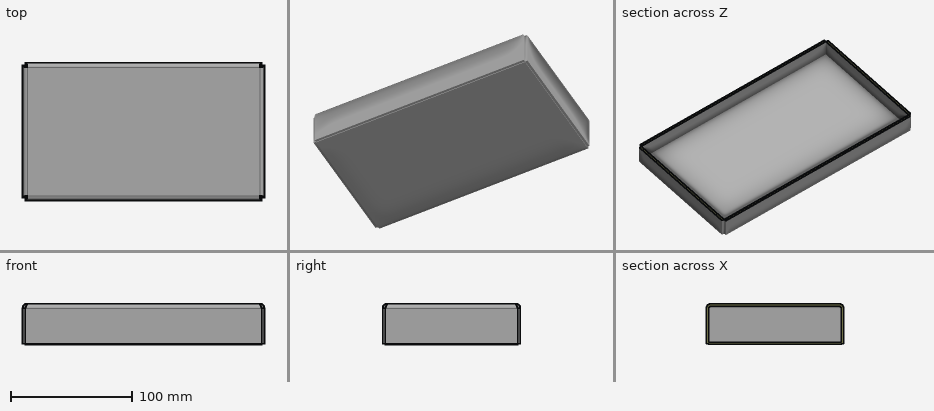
import cadquery as cq

length = 200.0
width = 114.0
height = 34.0

thickness = 2.5
bend_radius = 4.0
inner_radius = bend_radius - thickness

notch = 2.2

plate_thickness = 2.5
plate_drop = 0.5


def rounded_block(block_length, block_width, block_height, radius):
    """Block standing on Z = 0 with rounded top edges and sharp vertical corners."""
    long_profile = (
        cq.Workplane("XZ")
        .rect(block_length, 2 * block_height)
        .extrude(block_width / 2, both=True)
        .edges("|Y and >Z")
        .fillet(radius)
    )
    cross_profile = (
        cq.Workplane("YZ")
        .rect(block_width, 2 * block_height)
        .extrude(block_length / 2, both=True)
        .edges("|X and >Z")
        .fillet(radius)
    )
    upper_half = cq.Workplane("XY").box(
        block_length, block_width, block_height, centered=(True, True, False)
    )
    return long_profile.intersect(cross_profile).intersect(upper_half)


def corner_relief():
    """Cutter for the -X, -Y corner: square along the walls, flaring upward through the bends."""
    corner = (-length / 2, -width / 2)
    bend_start = height - bend_radius
    wall_notch = (
        cq.Workplane("XY")
        .center(*corner)
        .rect(notch, notch, centered=False)
        .extrude(bend_start)
    )
    bend_notch = (
        cq.Workplane("XY", origin=(0, 0, bend_start))
        .center(*corner)
        .rect(notch, notch, centered=False)
        .workplane(offset=bend_radius)
        .rect(bend_radius, bend_radius, centered=False)
        .loft(ruled=True)
    )
    return wall_notch.union(bend_notch)


outside = rounded_block(length, width, height, bend_radius)
inside = rounded_block(
    length - 2 * thickness,
    width - 2 * thickness,
    height - thickness,
    inner_radius,
)
cover = outside.cut(inside)

left_front = corner_relief()
left_back = left_front.mirror("XZ")
for relief in (left_front, left_back):
    cover = cover.cut(relief).cut(relief.mirror("YZ"))

wall_gap = cq.Workplane("XY").box(length, width, plate_drop, centered=(True, True, False))
base_plate = cq.Workplane("XY").box(
    length - 2 * notch, width - 2 * notch, plate_thickness, centered=(True, True, False)
)
result = cover.cut(wall_gap).union(base_plate)